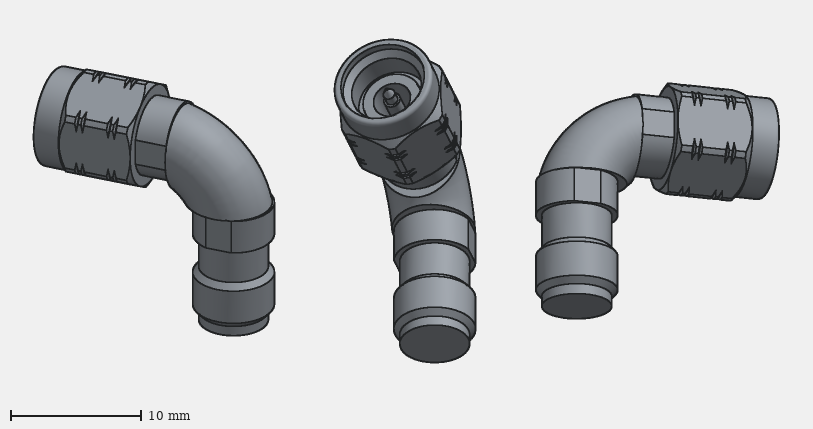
import cadquery as cq
import math


OVERALL_HEIGHT = 19.07

PLUG_FACE = -15.12
RING_LENGTH = 2.17
NUT_LENGTH = 8.2
NUT_REAR = PLUG_FACE + NUT_LENGTH
HEX_FRONT = PLUG_FACE + RING_LENGTH

RING_RADIUS = 3.9
RING_ROUNDING = 0.3
ACROSS_FLATS = 8.0
CORNER_RADIUS = 4.48
REAR_BEVEL_LENGTH = 0.3
GRIP_GROOVE_DEPTH = 0.25
GRIP_GROOVE_HALF_WIDTH = 0.13
GROOVE_PAIR_STATIONS = (-11.15, -8.5)
GROOVE_PAIR_SPACING = 0.51

MOUTH_RADIUS = 3.32
MOUTH_DEPTH = 0.67
LEAD_IN_LENGTH = 0.45
BORE_RADIUS = 2.77
BORE_DEPTH = 3.18

TUBE_OUTER_RADIUS = 2.3
TUBE_INNER_RADIUS = 1.47
TUBE_FRONT_DEPTH = 2.73
CONDUCTOR_RADIUS = 0.65
PIN_RADIUS = 0.45
PIN_TIP_RADIUS = 0.085
PIN_TIP_DEPTH = 1.16
PIN_CONE_LENGTH = 0.7

BODY_FACE_OFFSET = 4.37
BODY_RADIUS = 3.15
BODY_ACROSS_FLATS = 5.93
BEND_CENTRE_OFFSET = 6.45
BEND_RADIUS = 6.46
BEND_TUBE_RADIUS = 3.18

JACK_END = CORNER_RADIUS - OVERALL_HEIGHT
COLLAR_LENGTH = 2.75
BARREL_RADIUS = 2.69
BARREL_LENGTH = 2.82
SHOULDER_CONE_LENGTH = 0.51
SHOULDER_LENGTH = 2.8


def turned_about_x(points):
    """Solid of revolution about X from (x, radius) points."""
    return cq.Workplane("XY").polyline(points).close().revolve(360, (0, 0, 0), (1, 0, 0))


def turned_about_z(points):
    """Solid of revolution about Z from (radius, z) points."""
    return cq.Workplane("XZ").polyline(points).close().revolve(360, (0, 0, 0), (0, 1, 0))


def cylinder_x(radius, start, end):
    return cq.Workplane("YZ", origin=(start, 0, 0)).circle(radius).extrude(end - start)


def flat_sided(cylinder):
    """Trim a cylinder to the body width, leaving flats facing +Y and -Y."""
    box = cylinder.val().BoundingBox()
    slab = cq.Workplane("XY", origin=box.center).box(box.xlen, BODY_ACROSS_FLATS, box.zlen)
    return cylinder.intersect(slab)


def make_hexagon():
    hexagon = (
        cq.Workplane("YZ", origin=(HEX_FRONT, 0, 0))
        .transformed(rotate=(0, 0, 30))
        .polygon(6, ACROSS_FLATS / math.cos(math.pi / 6))
        .extrude(NUT_REAR - HEX_FRONT)
    )
    front_bevel_length = CORNER_RADIUS - RING_RADIUS
    envelope = turned_about_x([
        (HEX_FRONT, 0),
        (HEX_FRONT, RING_RADIUS),
        (HEX_FRONT + front_bevel_length, CORNER_RADIUS),
        (NUT_REAR - REAR_BEVEL_LENGTH, CORNER_RADIUS),
        (NUT_REAR, ACROSS_FLATS / 2),
        (NUT_REAR, 0),
    ])
    return hexagon.intersect(envelope)


def make_grip_groove(station):
    """Ring with a V section that notches the six hexagon corners."""
    root = CORNER_RADIUS - GRIP_GROOVE_DEPTH
    overshoot = 2
    half_width = GRIP_GROOVE_HALF_WIDTH * overshoot
    rim = root + GRIP_GROOVE_DEPTH * overshoot
    return turned_about_x([
        (station, root),
        (station + half_width, rim),
        (station - half_width, rim),
    ])


def make_nut():
    ring = cylinder_x(RING_RADIUS, PLUG_FACE, HEX_FRONT)
    ring = ring.faces("<X").edges().fillet(RING_ROUNDING)
    nut = ring.union(make_hexagon())
    for pair_station in GROOVE_PAIR_STATIONS:
        for side in (-1, 1):
            nut = nut.cut(make_grip_groove(pair_station + side * GROOVE_PAIR_SPACING / 2))
    return nut


def make_nut_bore():
    """Stepped mouth with a tapered lead-in to the main bore."""
    lead_in_start = PLUG_FACE + MOUTH_DEPTH
    lead_in_end = lead_in_start + LEAD_IN_LENGTH
    bore_floor = PLUG_FACE + BORE_DEPTH
    return turned_about_x([
        (PLUG_FACE, 0),
        (PLUG_FACE, MOUTH_RADIUS),
        (lead_in_start, MOUTH_RADIUS),
        (lead_in_end, BORE_RADIUS),
        (bore_floor, BORE_RADIUS),
        (bore_floor, 0),
    ])


def make_contact_tube():
    return cylinder_x(TUBE_OUTER_RADIUS, PLUG_FACE + TUBE_FRONT_DEPTH, NUT_REAR)


def make_contact_recess():
    """Hollow of the contact tube, closed level with the rear of the nut."""
    return cylinder_x(TUBE_INNER_RADIUS, PLUG_FACE + TUBE_FRONT_DEPTH, NUT_REAR)


def make_centre_conductor():
    tip = PLUG_FACE + PIN_TIP_DEPTH
    shoulder = PLUG_FACE + TUBE_FRONT_DEPTH
    return turned_about_x([
        (tip, 0),
        (tip, PIN_TIP_RADIUS),
        (tip + PIN_CONE_LENGTH, PIN_RADIUS),
        (shoulder, PIN_RADIUS),
        (shoulder, CONDUCTOR_RADIUS),
        (NUT_REAR, CONDUCTOR_RADIUS),
        (NUT_REAR, 0),
    ])


def make_neck():
    return flat_sided(cylinder_x(BODY_RADIUS, NUT_REAR, -BODY_FACE_OFFSET))


def make_elbow():
    """Part of a torus, cut square to both axes at the two end faces."""
    bend_centre = cq.Vector(-BEND_CENTRE_OFFSET, 0, -BEND_CENTRE_OFFSET)
    torus = cq.Solid.makeTorus(BEND_RADIUS, BEND_TUBE_RADIUS, bend_centre, cq.Vector(0, 1, 0))
    reach = 2 * BEND_RADIUS
    quadrant = (
        cq.Workplane("XY", origin=(-BODY_FACE_OFFSET, 0, -BODY_FACE_OFFSET))
        .box(reach, reach, reach, centered=(False, True, False))
    )
    return cq.Workplane(torus).intersect(quadrant)


def make_collar():
    top_plane = cq.Workplane("XY", origin=(0, 0, -BODY_FACE_OFFSET))
    collar = top_plane.circle(BODY_RADIUS).extrude(-COLLAR_LENGTH)
    return flat_sided(collar)


def make_jack_barrel():
    top = -BODY_FACE_OFFSET - COLLAR_LENGTH
    upper_cone = top - BARREL_LENGTH
    shoulder_top = upper_cone - SHOULDER_CONE_LENGTH
    shoulder_bottom = shoulder_top - SHOULDER_LENGTH
    lower_cone_end = shoulder_bottom - SHOULDER_CONE_LENGTH
    return turned_about_z([
        (0, top),
        (BARREL_RADIUS, top),
        (BARREL_RADIUS, upper_cone),
        (BODY_RADIUS, shoulder_top),
        (BODY_RADIUS, shoulder_bottom),
        (BARREL_RADIUS, lower_cone_end),
        (BARREL_RADIUS, JACK_END),
        (0, JACK_END),
    ])


plug = (
    make_nut()
    .cut(make_nut_bore())
    .union(make_contact_tube())
    .cut(make_contact_recess())
    .union(make_centre_conductor())
)
body = make_neck().union(make_elbow()).union(make_collar()).union(make_jack_barrel())
result = plug.union(body)